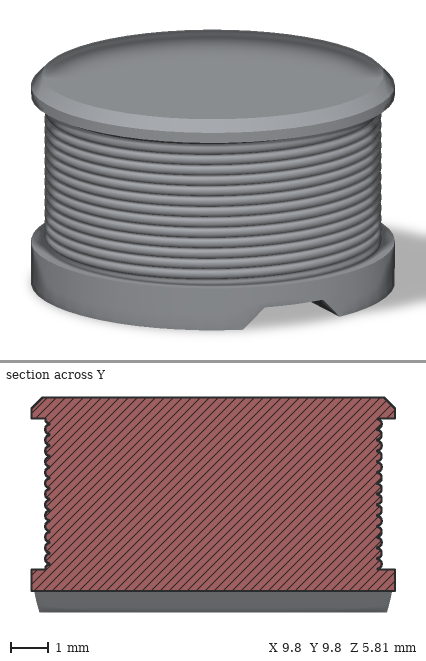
import cadquery as cq

flange_diameter = 9.8
total_height = 5.81
base_thickness = 1.17
cap_thickness = 0.58
cap_chamfer = 0.3

slot_depth = base_thickness / 2
slot_top_width = 1.76
slot_bottom_width = 2.92

winding_height = total_height - base_thickness - cap_thickness
winding_diameter = 9.08
turns = 14
pitch = winding_height / turns
wire_gap = 0.01
wire_radius = (pitch - wire_gap) / 2
helix_radius = winding_diameter / 2 - wire_radius
wire_exposure = 0.12
drum_radius = winding_diameter / 2 - wire_exposure
wire_root_depth = 0.05


def disc(radius, height, bottom):
    """Solid cylinder on the Z axis whose lower face is at the height `bottom`."""
    return cq.Workplane("XY").workplane(offset=bottom).circle(radius).extrude(height)


def make_base():
    """Lower flange with a trapezoidal slot through it along X."""
    slot = (
        cq.Workplane("YZ")
        .moveTo(-slot_bottom_width / 2, 0)
        .lineTo(-slot_top_width / 2, slot_depth)
        .lineTo(slot_top_width / 2, slot_depth)
        .lineTo(slot_bottom_width / 2, 0)
        .close()
        .extrude(flange_diameter / 2, both=True)
    )
    return disc(flange_diameter / 2, base_thickness, 0).cut(slot)


def make_cap():
    """Upper flange with a chamfered top rim."""
    cap = disc(flange_diameter / 2, cap_thickness, total_height - cap_thickness)
    return cap.faces(">Z").edges().chamfer(cap_chamfer)


def make_winding():
    """Drum with a right-handed round-crested wire, trimmed flush with both flanges.

    The helix runs one extra turn past each end, so the trimmed winding fills the full height.
    """
    wire_start = base_thickness - pitch
    path = cq.Wire.makeHelix(pitch, winding_height + 2 * pitch, helix_radius)
    path = path.translate(cq.Vector(0, 0, wire_start))
    wire = (
        cq.Workplane("XZ")
        .center(helix_radius, wire_start)
        .moveTo(-wire_root_depth, -wire_radius)
        .lineTo(0, -wire_radius)
        .threePointArc((wire_radius, 0), (0, wire_radius))
        .lineTo(-wire_root_depth, wire_radius)
        .close()
        .sweep(cq.Workplane(obj=path), isFrenet=True)
    )
    window = disc(flange_diameter / 2, winding_height, base_thickness)
    drum = disc(drum_radius, winding_height, base_thickness)
    return drum.union(wire.intersect(window))


result = make_base().union(make_winding()).union(make_cap())